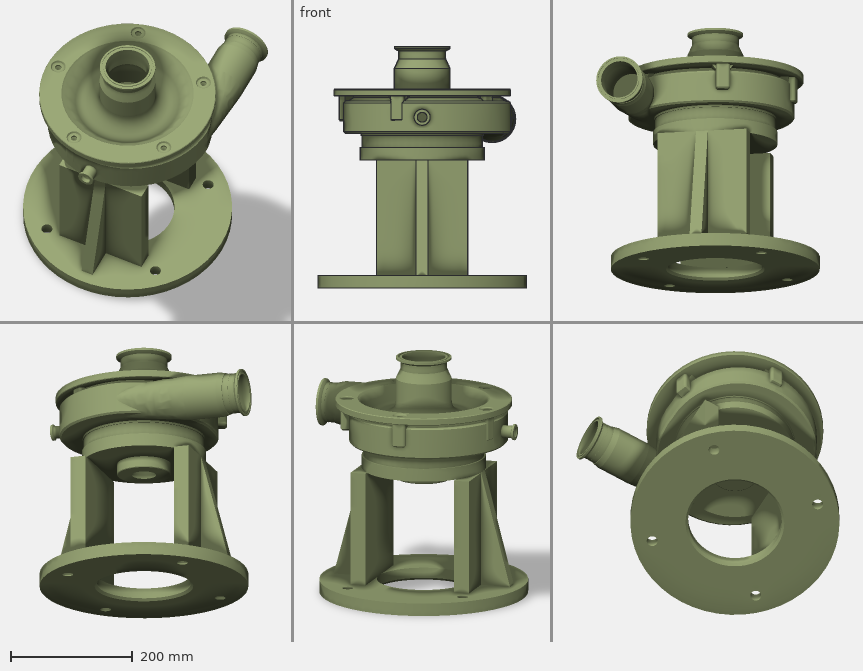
import cadquery as cq
import math

TOTAL_HEIGHT = 396.5
BASE_THICKNESS = 21.0
STAND_TOP = 210.0
ADAPTER_FLANGE_TOP = 231.0
CASING_BOTTOM = 254.0
CASING_TOP = 307.0
COVER_BOTTOM = 315.0
COVER_TOP = 326.5

BASE_RADIUS = 171.5
BASE_OPENING_RADIUS = 77.0
BASE_OPENING_CHAMFER = 4.0
BASE_HOLE_RADIUS = 9.0
BASE_HOLE_CIRCLE = 140.0
BASE_HOLE_COUNT = 4
BASE_HOLE_FIRST_ANGLE = 45.0

ADAPTER_FLANGE_RADIUS = 102.0
LEG_COUNT = 2
LEG_WIDTH = 150.0
LEG_THICKNESS = 25.5
GUSSET_THICKNESS = 20.0
GUSSET_REACH = 152.0

ADAPTER_RADIUS = 99.0
ADAPTER_LIP_RADIUS = 100.5
ADAPTER_LIP_HEIGHT = 3.5
HUB_RADIUS = 44.2
HUB_BOTTOM = 191.5
HUB_CHAMFER = 1.0
SHAFT_BORE_RADIUS = 20.0

VOLUTE_START_RADIUS = 121.0
VOLUTE_END_RADIUS = 145.0
VOLUTE_QUARTERS = 3
CASING_BEVEL = 3.0
NECK_INSET_LOW = 8.0
NECK_INSET_HIGH = 16.0
NECK_CONE_TOP = 313.0

COVER_RADIUS = 145.0
COVER_CHAMFER = 1.0
DISH_RADIUS = 108.6
DISH_EDGE = 1.8
DISH_FLOOR = 302.0
DISH_FLAT_RADIUS = 76.6
DISH_ROUND = 13.3
INLET_ROOT_ROUND = 20.0

INLET_PIPE_RADIUS = 45.9
INLET_CONE_BOTTOM = 360.5
INLET_CONE_TOP = 376.5
INLET_NECK_RADIUS = 38.5
INLET_FLANGE_RADIUS = 45.6
INLET_BORE_RADIUS = 36.0
INLET_BORE_END = 358.0
INLET_CHAMBER_RADIUS = 42.0

FERRULE_RIM = 3.5
FERRULE_TAPER = 4.0
GROOVE_WIDTH = 3.0
GROOVE_DEPTH = 1.5

OUTLET_X = 114.8
OUTLET_Z = 277.7
OUTLET_END = 211.0
OUTLET_FLANGE_RADIUS = 38.8
OUTLET_NECK_RADIUS = 33.0
WELD_RADIUS = 32.5
WELD_START_Y = 193.5
WELD_END_Y = 198.0
OUTLET_SHOULDER_RADIUS = 34.3
OUTLET_PIPE_RADIUS = 36.6
OUTLET_SHOULDER_Y = 183.5
OUTLET_PIPE_Y = 173.5
OUTLET_THROAT_Y = 117.5
OUTLET_BORE_RADIUS = 30.5
THROAT_ROOT_RADIUS = 26.0

DRAIN_Z = 280.5
DRAIN_END = 158.3
DRAIN_PIPE_RADIUS = 10.3
DRAIN_FLANGE_RADIUS = 13.2
DRAIN_FLANGE_RIM = 3.5
DRAIN_FLANGE_TAPER = 1.5
DRAIN_BORE_RADIUS = 8.0

SCREW_COUNT = 5
SCREW_FIRST_ANGLE = 180.0
SCREW_CIRCLE = 126.5
SCREW_SEAT_RADIUS = 12.2
SCREW_SEAT_FLOOR_RADIUS = 10.6
SCREW_SEAT_DEPTH = 2.5
SOCKET_RADIUS = 5.2
SOCKET_DEPTH = 3.0
SOCKET_CONE_DEPTH = 3.0
LUG_WIDTH = 22.4
LUG_INNER = 95.0
LUG_OUTER = 136.3
LUG_BOTTOM = 274.0
LUG_ROUND = 4.5
LUG_CHAMFER = 2.5
LUG_FLARE_WIDTH = 34.0
LUG_FLARE_BOTTOM = 308.0


def disc(radius, bottom, top):
    """Upright cylinder on the pump axis."""
    return cq.Workplane("XY").workplane(offset=bottom).circle(radius).extrude(top - bottom)


def polar_angles(count, first):
    return [first + index * 360.0 / count for index in range(count)]


def make_base():
    base = disc(BASE_RADIUS, 0, BASE_THICKNESS)
    base = base.cut(disc(BASE_OPENING_RADIUS, 0, BASE_THICKNESS))
    base = base.faces("<Z").edges(cq.selectors.RadiusNthSelector(0)).chamfer(BASE_OPENING_CHAMFER)
    holes = (
        cq.Workplane("XY")
        .polarArray(BASE_HOLE_CIRCLE, BASE_HOLE_FIRST_ANGLE, 360, BASE_HOLE_COUNT)
        .circle(BASE_HOLE_RADIUS)
        .extrude(BASE_THICKNESS)
    )
    return base.cut(holes)


def make_leg():
    """Leg plate on the +Y side with its triangular gusset."""
    leg = cq.Workplane("XY").box(
        LEG_WIDTH, LEG_THICKNESS, STAND_TOP - BASE_THICKNESS, centered=(True, False, False)
    )
    leg = leg.translate((0, ADAPTER_FLANGE_RADIUS - LEG_THICKNESS, BASE_THICKNESS))
    gusset = (
        cq.Workplane("YZ")
        .moveTo(ADAPTER_FLANGE_RADIUS, BASE_THICKNESS)
        .lineTo(GUSSET_REACH, BASE_THICKNESS)
        .lineTo(ADAPTER_FLANGE_RADIUS, STAND_TOP)
        .close()
        .extrude(GUSSET_THICKNESS / 2, both=True)
    )
    return leg.union(gusset)


def make_adapter():
    flange = disc(ADAPTER_FLANGE_RADIUS, STAND_TOP, ADAPTER_FLANGE_TOP)
    body = disc(ADAPTER_RADIUS, ADAPTER_FLANGE_TOP, CASING_BOTTOM)
    lip = disc(ADAPTER_LIP_RADIUS, CASING_BOTTOM - ADAPTER_LIP_HEIGHT, CASING_BOTTOM)
    hub = disc(HUB_RADIUS, HUB_BOTTOM, STAND_TOP).faces("<Z").edges().chamfer(HUB_CHAMFER)
    return flange.union(body).union(lip).union(hub)


def volute_outline(height, inset):
    """Spiral growing over three quarter turns from +Y round to +X, closed by a fourth arc."""
    growth = (VOLUTE_END_RADIUS - VOLUTE_START_RADIUS) / VOLUTE_QUARTERS

    def spiral_point(quarters):
        if quarters <= VOLUTE_QUARTERS:
            radius = VOLUTE_START_RADIUS + growth * quarters
        else:
            radius = VOLUTE_END_RADIUS - growth * VOLUTE_QUARTERS * (quarters - VOLUTE_QUARTERS)
        angle = math.radians(90 + 90 * quarters)
        return ((radius - inset) * math.cos(angle), (radius - inset) * math.sin(angle))

    outline = cq.Workplane("XY").workplane(offset=height).moveTo(*spiral_point(0))
    for quarter in range(VOLUTE_QUARTERS + 1):
        outline = outline.threePointArc(spiral_point(quarter + 0.5), spiral_point(quarter + 1))
    return outline.close()


def volute_taper(bottom, bottom_inset, top, top_inset):
    """Casing slice whose spiral outline narrows or widens between two heights."""
    bottom_wire = volute_outline(bottom, bottom_inset).val()
    top_wire = volute_outline(top, top_inset).val()
    return cq.Workplane(cq.Solid.makeLoft([bottom_wire, top_wire], True))


def make_casing():
    wall_bottom = CASING_BOTTOM + CASING_BEVEL
    wall_top = CASING_TOP - CASING_BEVEL
    wall = volute_outline(wall_bottom, 0).extrude(wall_top - wall_bottom)
    collar = volute_outline(NECK_CONE_TOP, NECK_INSET_HIGH).extrude(COVER_BOTTOM - NECK_CONE_TOP)
    return (
        wall.union(volute_taper(CASING_BOTTOM, CASING_BEVEL, wall_bottom, 0))
        .union(volute_taper(wall_top, 0, CASING_TOP, CASING_BEVEL))
        .union(volute_taper(CASING_TOP, NECK_INSET_LOW, NECK_CONE_TOP, NECK_INSET_HIGH))
        .union(collar)
    )


def make_cover():
    plate = disc(COVER_RADIUS, COVER_BOTTOM, COVER_TOP)
    return plate.faces("<Z or >Z").edges().chamfer(COVER_CHAMFER)


def make_dish_cut():
    """Ring-shaped recess around the inlet: 45 degree flank, rounded floor corner, rounded root."""
    diagonal = math.sqrt(0.5)
    flank_radius = DISH_FLAT_RADIUS + DISH_ROUND * diagonal
    flank_height = DISH_FLOOR + DISH_ROUND * (1 - diagonal)
    corner_angle = math.radians(45) / 2
    corner_middle = (
        DISH_FLAT_RADIUS + DISH_ROUND * math.sin(corner_angle),
        DISH_FLOOR + DISH_ROUND * (1 - math.cos(corner_angle)),
    )
    root_middle = (
        INLET_PIPE_RADIUS + INLET_ROOT_ROUND * (1 - diagonal),
        DISH_FLOOR + INLET_ROOT_ROUND * (1 - diagonal),
    )
    return (
        cq.Workplane("XZ")
        .moveTo(INLET_PIPE_RADIUS, COVER_TOP)
        .lineTo(INLET_PIPE_RADIUS, DISH_FLOOR + INLET_ROOT_ROUND)
        .threePointArc(root_middle, (INLET_PIPE_RADIUS + INLET_ROOT_ROUND, DISH_FLOOR))
        .lineTo(DISH_FLAT_RADIUS, DISH_FLOOR)
        .threePointArc(corner_middle, (flank_radius, flank_height))
        .lineTo(DISH_RADIUS - DISH_EDGE, COVER_TOP - DISH_EDGE)
        .lineTo(DISH_RADIUS, COVER_TOP)
        .close()
        .revolve(360, (0, 0, 0), (0, 1, 0))
    )


def gasket_groove(plane, bore_radius, flange_radius, end):
    """Ring groove in a ferrule face lying at the given distance along the plane normal."""
    middle = (bore_radius + flange_radius) / 2
    return (
        plane.workplane(offset=end - GROOVE_DEPTH)
        .circle(middle + GROOVE_WIDTH / 2)
        .circle(middle - GROOVE_WIDTH / 2)
        .extrude(GROOVE_DEPTH)
    )


def make_inlet():
    rim_bottom = TOTAL_HEIGHT - FERRULE_RIM
    pipe = (
        cq.Workplane("XZ")
        .moveTo(0, DISH_FLOOR)
        .lineTo(INLET_PIPE_RADIUS, DISH_FLOOR)
        .lineTo(INLET_PIPE_RADIUS, INLET_CONE_BOTTOM)
        .lineTo(INLET_NECK_RADIUS, INLET_CONE_TOP)
        .lineTo(INLET_NECK_RADIUS, rim_bottom - FERRULE_TAPER)
        .lineTo(INLET_FLANGE_RADIUS, rim_bottom)
        .lineTo(INLET_FLANGE_RADIUS, TOTAL_HEIGHT)
        .lineTo(0, TOTAL_HEIGHT)
        .close()
        .revolve(360, (0, 0, 0), (0, 1, 0))
    )
    groove = gasket_groove(
        cq.Workplane("XY"), INLET_BORE_RADIUS, INLET_FLANGE_RADIUS, TOTAL_HEIGHT
    )
    return pipe.cut(groove)


def make_axial_bores():
    """Inlet bore, the wider chamber below it and the shaft bore through the hub."""
    inlet_bore = disc(INLET_BORE_RADIUS, INLET_BORE_END, TOTAL_HEIGHT)
    chamber = disc(INLET_CHAMBER_RADIUS, DISH_FLOOR, INLET_BORE_END)
    shaft_bore = disc(SHAFT_BORE_RADIUS, HUB_BOTTOM, DISH_FLOOR)
    return inlet_bore.union(chamber).union(shaft_bore)


def make_outlet():
    """Outlet pipe with shoulder, weld groove and ferrule, joined to the casing by a throat."""
    rim_start = OUTLET_END - FERRULE_RIM
    pipe = (
        cq.Workplane("XY")
        .moveTo(0, OUTLET_THROAT_Y)
        .lineTo(OUTLET_PIPE_RADIUS, OUTLET_THROAT_Y)
        .lineTo(OUTLET_PIPE_RADIUS, OUTLET_PIPE_Y)
        .lineTo(OUTLET_SHOULDER_RADIUS, OUTLET_SHOULDER_Y)
        .lineTo(OUTLET_NECK_RADIUS, OUTLET_SHOULDER_Y)
        .lineTo(OUTLET_NECK_RADIUS, WELD_START_Y)
        .lineTo(WELD_RADIUS, WELD_START_Y)
        .lineTo(WELD_RADIUS, WELD_END_Y)
        .lineTo(OUTLET_NECK_RADIUS, WELD_END_Y)
        .lineTo(OUTLET_NECK_RADIUS, rim_start - FERRULE_TAPER)
        .lineTo(OUTLET_FLANGE_RADIUS, rim_start)
        .lineTo(OUTLET_FLANGE_RADIUS, OUTLET_END)
        .lineTo(0, OUTLET_END)
        .close()
        .revolve(360, (0, 0, 0), (0, 1, 0))
        .translate((OUTLET_X, 0, OUTLET_Z))
    )
    root_x = VOLUTE_END_RADIUS - THROAT_ROOT_RADIUS
    root_z = (CASING_BOTTOM + CASING_TOP) / 2
    toward_y = cq.Vector(0, 1, 0)
    root_wire = cq.Wire.makeCircle(THROAT_ROOT_RADIUS, cq.Vector(root_x, 0, root_z), toward_y)
    pipe_centre = cq.Vector(OUTLET_X, OUTLET_THROAT_Y, OUTLET_Z)
    pipe_wire = cq.Wire.makeCircle(OUTLET_PIPE_RADIUS, pipe_centre, toward_y)
    throat = cq.Workplane(cq.Solid.makeLoft([root_wire, pipe_wire], True))
    return pipe.union(throat)


def make_outlet_cut():
    """Outlet bore down to the throat, with the gasket groove in the ferrule face."""
    face_plane = cq.Workplane(
        cq.Plane(origin=(OUTLET_X, 0, OUTLET_Z), xDir=(1, 0, 0), normal=(0, 1, 0))
    )
    bore = (
        face_plane.workplane(offset=OUTLET_THROAT_Y)
        .circle(OUTLET_BORE_RADIUS)
        .extrude(OUTLET_END - OUTLET_THROAT_Y)
    )
    groove = gasket_groove(face_plane, OUTLET_BORE_RADIUS, OUTLET_FLANGE_RADIUS, OUTLET_END)
    return bore.union(groove)


def make_drain():
    """Small flanged nozzle, rooted inside the casing wall."""
    root = VOLUTE_START_RADIUS
    rim_start = DRAIN_END - DRAIN_FLANGE_RIM
    return (
        cq.Workplane("XY")
        .moveTo(0, -root)
        .lineTo(DRAIN_PIPE_RADIUS, -root)
        .lineTo(DRAIN_PIPE_RADIUS, -(rim_start - DRAIN_FLANGE_TAPER))
        .lineTo(DRAIN_FLANGE_RADIUS, -rim_start)
        .lineTo(DRAIN_FLANGE_RADIUS, -DRAIN_END)
        .lineTo(0, -DRAIN_END)
        .close()
        .revolve(360, (0, 0, 0), (0, 1, 0))
        .translate((0, 0, DRAIN_Z))
    )


def make_drain_bore():
    return (
        cq.Workplane("XZ", origin=(0, -VOLUTE_START_RADIUS, DRAIN_Z))
        .circle(DRAIN_BORE_RADIUS)
        .extrude(DRAIN_END - VOLUTE_START_RADIUS)
    )


def make_lug():
    """Screw lug on the +X side, flared where it meets the cover."""
    lug = cq.Workplane("XY").box(
        LUG_OUTER - LUG_INNER, LUG_WIDTH, COVER_BOTTOM - LUG_BOTTOM, centered=(False, True, False)
    )
    lug = lug.translate((LUG_INNER, 0, LUG_BOTTOM))
    lug = lug.edges("|Z and >X").fillet(LUG_ROUND)
    lug = lug.faces("<Z").edges().chamfer(LUG_CHAMFER)
    flare = (
        cq.Workplane("YZ")
        .workplane(offset=LUG_INNER)
        .moveTo(-LUG_WIDTH / 2, LUG_FLARE_BOTTOM)
        .lineTo(LUG_WIDTH / 2, LUG_FLARE_BOTTOM)
        .lineTo(LUG_FLARE_WIDTH / 2, COVER_BOTTOM)
        .lineTo(-LUG_FLARE_WIDTH / 2, COVER_BOTTOM)
        .close()
        .extrude(SCREW_CIRCLE - LUG_INNER)
    )
    return lug.union(flare)


def make_screw_recess():
    """Tapered screw seat with a drill-pointed socket, on the +X side of the cover."""
    seat_floor = COVER_TOP - SCREW_SEAT_DEPTH
    socket_floor = seat_floor - SOCKET_DEPTH
    return (
        cq.Workplane("XZ")
        .moveTo(0, COVER_TOP)
        .lineTo(SCREW_SEAT_RADIUS, COVER_TOP)
        .lineTo(SCREW_SEAT_FLOOR_RADIUS, seat_floor)
        .lineTo(SOCKET_RADIUS, seat_floor)
        .lineTo(SOCKET_RADIUS, socket_floor)
        .lineTo(0, socket_floor - SOCKET_CONE_DEPTH)
        .close()
        .revolve(360, (0, 0, 0), (0, 1, 0))
        .translate((SCREW_CIRCLE, 0, 0))
    )


def around_axis(shape, angle):
    return shape.rotate((0, 0, 0), (0, 0, 1), angle)


result = make_base()
leg = make_leg()
for leg_angle in polar_angles(LEG_COUNT, 0):
    result = result.union(around_axis(leg, leg_angle))

result = result.union(make_adapter()).union(make_casing()).union(make_outlet())
result = result.union(make_drain()).union(make_cover())
lug = make_lug()
screw_angles = polar_angles(SCREW_COUNT, SCREW_FIRST_ANGLE)
for screw_angle in screw_angles:
    result = result.union(around_axis(lug, screw_angle))

result = result.cut(make_dish_cut()).union(make_inlet())
result = result.cut(make_axial_bores()).cut(make_outlet_cut()).cut(make_drain_bore())
screw_recess = make_screw_recess()
for screw_angle in screw_angles:
    result = result.cut(around_axis(screw_recess, screw_angle))